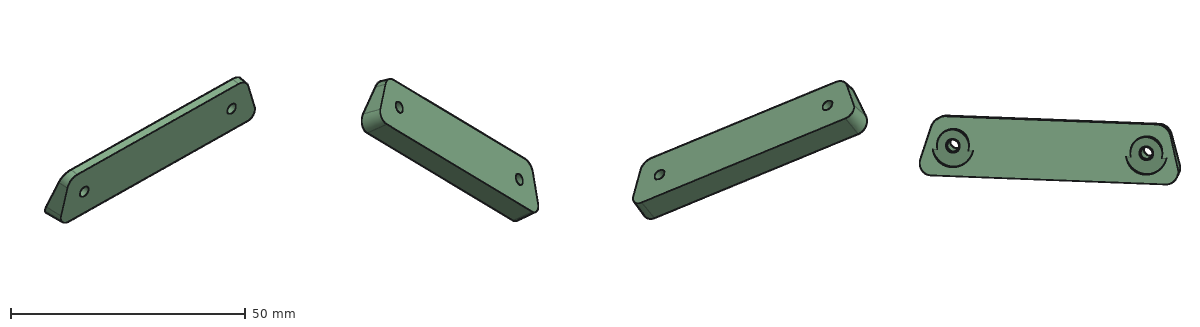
import cadquery as cq
import math

base_thickness = 5.3
overall_height = 12.3
front_slope = 15.0
side_draft = 5.0
end_slant = 15.0
top_half_width = 25.25
top_corner_radius = 2.9
bottom_corner_radius = 2.2

seat_spacing = 42.05
seat_height = 6.35
seat_plane = 3.8
boss_diameter = 6.95
pocket_diameter = 9.0
hole_diameter = 2.5
hole_chamfer = 0.3

slope_ratio = math.tan(math.radians(front_slope))
draft_ratio = math.tan(math.radians(side_draft))
top_thickness = base_thickness - overall_height * slope_ratio
back_bottom = base_thickness * draft_ratio
back_top = overall_height - top_thickness * draft_ratio
end_run = (back_top - back_bottom) * math.tan(math.radians(end_slant))
bottom_half_width = top_half_width + end_run

back_plane = cq.Plane(origin=(0, 0, 0), xDir=(0, -1, 0), normal=(-1, 0, 0))


def space_ahead_of_front():
    """Everything ahead of the sloped front face, across the whole plate."""
    lower_z = -overall_height
    upper_z = 2 * overall_height
    far_x = -4 * base_thickness
    profile = [
        (-base_thickness + lower_z * slope_ratio, lower_z),
        (-base_thickness + upper_z * slope_ratio, upper_z),
        (far_x, upper_z),
        (far_x, lower_z),
    ]
    return cq.Workplane("XZ").polyline(profile).close().extrude(2 * bottom_half_width, both=True)


def drafted_plate():
    outline = (
        cq.Sketch()
        .polygon([
            (-bottom_half_width, back_bottom),
            (bottom_half_width, back_bottom),
            (top_half_width, back_top),
            (-top_half_width, back_top),
            (-bottom_half_width, back_bottom),
        ])
        .vertices(">Y")
        .fillet(top_corner_radius)
        .reset()
        .vertices("<Y")
        .fillet(bottom_corner_radius)
    )
    block_depth = 1.5 * base_thickness
    block = cq.Workplane(back_plane).placeSketch(outline).extrude(block_depth, taper=-side_draft)
    return block.cut(space_ahead_of_front())


def seat_cylinder(y, diameter, start, length):
    """Cylinder on a screw axis, beginning at a distance from the back and running forwards."""
    return (
        cq.Workplane(back_plane)
        .workplane(offset=start)
        .center(-y, seat_height)
        .circle(diameter / 2)
        .extrude(length)
    )


def chamfered_hole(y):
    """Through hole whose edge on the seat flat is bevelled at 45 degrees."""
    hole = seat_cylinder(y, hole_diameter, 0, seat_plane)
    mouth_radius = hole_diameter / 2 + hole_chamfer
    bevel = cq.Solid.makeCone(
        hole_diameter / 2,
        mouth_radius,
        hole_chamfer,
        pnt=cq.Vector(hole_chamfer - seat_plane, y, seat_height),
        dir=cq.Vector(-1, 0, 0),
    )
    return hole.union(cq.Workplane(bevel))


result = drafted_plate()
for seat_y in (-seat_spacing / 2, seat_spacing / 2):
    result = result.cut(seat_cylinder(seat_y, pocket_diameter, seat_plane, base_thickness))
    result = result.union(seat_cylinder(seat_y, boss_diameter, 0, seat_plane))
    result = result.cut(chamfered_hole(seat_y))